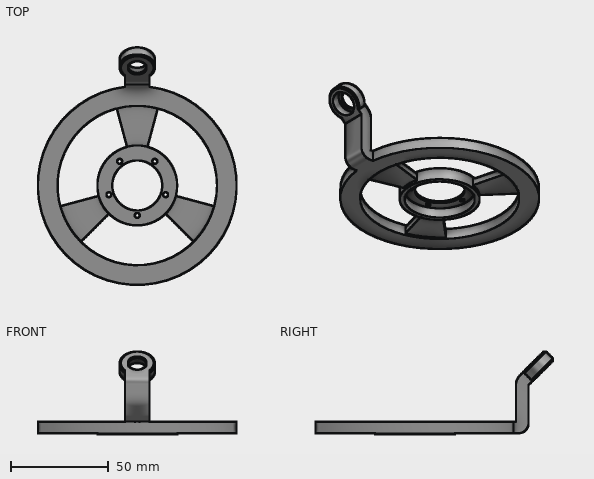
import cadquery as cq
import math

RING_OUTER_D = 101.6
RING_INNER_D = 81.28
RING_THICK = 5.97

HUB_D = 40.89
HUB_BORE_D = 25.4
HUB_COUNTERBORE_D = 35.81
HUB_DROP = 0.64
HUB_FLOOR = 1.27
HUB_HEIGHT = RING_THICK + HUB_DROP
SCREW_HOLE_D = 2.4
SCREW_CIRCLE_D = 30.48
SCREW_COUNT = 5
SCREW_START_ANGLE = -90.0

SPOKE_COUNT = 3
SPOKE_ANGLE = 30.0
SPOKE_THICK = 3.7
SPOKE_RECESS = 1.27
SPOKE_TOP = HUB_HEIGHT - SPOKE_RECESS
SPOKE_OVERLAP = 1.0

ARM_DIRECTION = 90.0
ARM_WIDTH = 12.72
ARM_THICK = 6.6
ARM_FRONT_Y = 51.54
ARM_BACK_Y = ARM_FRONT_Y + ARM_THICK
ARM_HEEL_R = 5.3
BEND_Z = 25.4
BEND_ANGLE = 45.0

EYE_D = 18.2
EYE_OFFSET = 9.2
EYE_HOLE_D = 9.53
EYE_COUNTERBORE_D = 12.72
EYE_FLOOR = 1.27
EYE_CHAMFER = 0.75


def tube(outer_d, inner_d, bottom, height):
    base = cq.Workplane("XY").workplane(offset=bottom)
    return base.circle(outer_d / 2).circle(inner_d / 2).extrude(height)


def make_hub():
    hub = tube(HUB_D, HUB_BORE_D, 0, HUB_HEIGHT)
    recess = cq.Workplane("XY").circle(HUB_COUNTERBORE_D / 2).extrude(HUB_HEIGHT - HUB_FLOOR)
    screws = (
        cq.Workplane("XY")
        .polarArray(SCREW_CIRCLE_D / 2, SCREW_START_ANGLE, 360, SCREW_COUNT)
        .circle(SCREW_HOLE_D / 2)
        .extrude(HUB_HEIGHT)
    )
    return hub.cut(recess).cut(screws)


def polar(radius, degrees):
    angle = math.radians(degrees)
    return (radius * math.cos(angle), radius * math.sin(angle))


def make_spoke(direction):
    inner_r = HUB_D / 2 - SPOKE_OVERLAP
    outer_r = RING_INNER_D / 2 + SPOKE_OVERLAP
    start = direction - SPOKE_ANGLE / 2
    end = direction + SPOKE_ANGLE / 2
    return (
        cq.Workplane("XY")
        .workplane(offset=SPOKE_TOP - SPOKE_THICK)
        .moveTo(*polar(inner_r, start))
        .lineTo(*polar(outer_r, start))
        .threePointArc(polar(outer_r, direction), polar(outer_r, end))
        .lineTo(*polar(inner_r, end))
        .threePointArc(polar(inner_r, direction), polar(inner_r, start))
        .close()
        .extrude(SPOKE_THICK)
    )


def eye_plane():
    """Plane on the back of the tilted arm: local X across, Y along the arm, Z toward its front."""
    tilt = math.radians(BEND_ANGLE)
    return cq.Plane(
        origin=(0, ARM_BACK_Y, BEND_Z),
        xDir=(1, 0, 0),
        normal=(0, -math.sin(tilt), math.cos(tilt)),
    )


def make_arm():
    foot_y = (RING_OUTER_D + RING_INNER_D) / 4
    tilt = math.radians(BEND_ANGLE)
    bend_end = (ARM_BACK_Y - ARM_THICK * math.cos(tilt), BEND_Z + ARM_THICK * math.sin(tilt))
    upright = (
        cq.Workplane("YZ")
        .moveTo(foot_y, HUB_DROP)
        .lineTo(ARM_BACK_Y - ARM_HEEL_R, HUB_DROP)
        .radiusArc((ARM_BACK_Y, HUB_DROP + ARM_HEEL_R), -ARM_HEEL_R)
        .lineTo(ARM_BACK_Y, BEND_Z)
        .lineTo(*bend_end)
        .radiusArc((ARM_FRONT_Y, BEND_Z), -ARM_THICK)
        .lineTo(ARM_FRONT_Y, HUB_HEIGHT)
        .lineTo(foot_y, HUB_HEIGHT)
        .close()
        .extrude(ARM_WIDTH / 2, both=True)
    )
    tilted = (
        cq.Workplane(eye_plane())
        .center(0, EYE_OFFSET / 2)
        .rect(ARM_WIDTH, EYE_OFFSET)
        .extrude(ARM_THICK)
    )
    return upright.union(tilted)


def make_eye():
    return (
        cq.Workplane(eye_plane())
        .center(0, EYE_OFFSET)
        .circle(EYE_D / 2)
        .extrude(ARM_THICK)
        .faces(">Z or <Z")
        .edges()
        .chamfer(EYE_CHAMFER)
    )


def make_eye_hole():
    base = cq.Workplane(eye_plane()).center(0, EYE_OFFSET)
    through = base.circle(EYE_HOLE_D / 2).extrude(ARM_THICK)
    recess = base.circle(EYE_COUNTERBORE_D / 2).extrude(ARM_THICK - EYE_FLOOR)
    return through.union(recess)


ring = tube(RING_OUTER_D, RING_INNER_D, HUB_DROP, RING_THICK)
result = ring.union(make_hub())
for index in range(SPOKE_COUNT):
    direction = ARM_DIRECTION + index * 360 / SPOKE_COUNT
    result = result.union(make_spoke(direction))
result = result.union(make_arm()).union(make_eye()).cut(make_eye_hole())